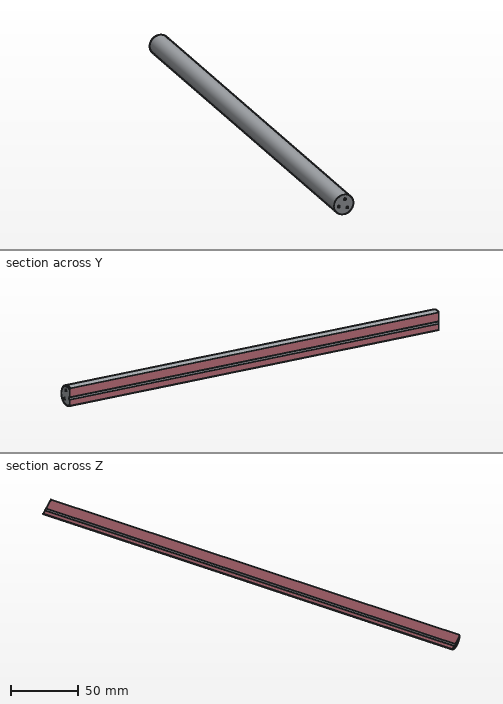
import cadquery as cq

rod_length = 330.0
rod_diameter = 16.0
end_chamfer = 0.8
hole_count = 3
hole_diameter = 1.6
hole_circle_diameter = 8.4
full_turn = 360.0
first_hole_angle = 75.0


def make_rod():
    """Round rod from X = 0 toward +X, with the rim at X = 0 chamfered."""
    rod = cq.Workplane("YZ").circle(rod_diameter / 2).extrude(rod_length)
    return rod.faces("<X").edges().chamfer(end_chamfer)


def make_holes():
    """Evenly spaced small holes running the full length of the rod."""
    return (
        cq.Workplane("YZ")
        .polarArray(hole_circle_diameter / 2, first_hole_angle, full_turn, hole_count)
        .circle(hole_diameter / 2)
        .extrude(rod_length)
    )


result = make_rod().cut(make_holes())